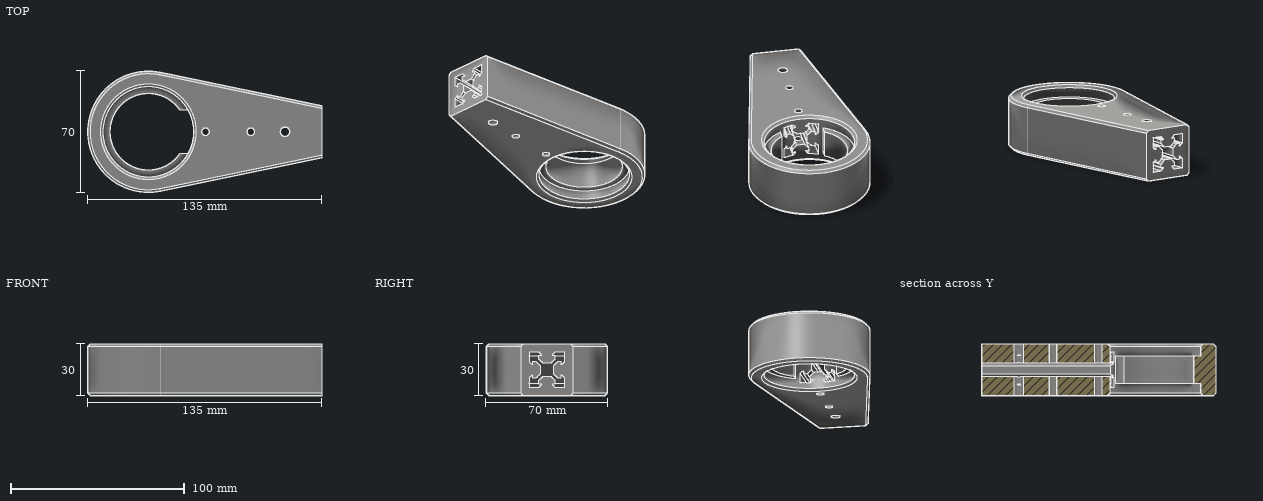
import cadquery as cq
import math

height = 30.0
ring_radius = 35.0
arm_end_x = 135 - ring_radius
arm_end_half_width = 15.0
edge_chamfer = 1.5

bore_radius = 26.0
band_radius = 22.0
band_height = 16.0
band_gap = 25.0

screw_holes = [(33.0, 4.2), (59.0, 4.2), (78.7, 5.3)]

rail_half = 10.1
mouth_half = 4.6
neck_half = 3.1
lip_inner = 8.2
cavity_half = 4.7
core_half = 3.8
floor_half = 2.3


def arm_body():
    """Ring outline joined to the arm end by tangent lines, chamfered top and bottom."""
    corner_angle = math.atan2(arm_end_half_width, arm_end_x)
    corner_distance = math.hypot(arm_end_x, arm_end_half_width)
    tangent_angle = corner_angle + math.acos(ring_radius / corner_distance)
    tangent_x = ring_radius * math.cos(tangent_angle)
    tangent_y = ring_radius * math.sin(tangent_angle)
    body = (
        cq.Workplane("XY")
        .workplane(offset=-height / 2)
        .moveTo(arm_end_x, -arm_end_half_width)
        .lineTo(arm_end_x, arm_end_half_width)
        .lineTo(tangent_x, tangent_y)
        .threePointArc((-ring_radius, 0), (tangent_x, -tangent_y))
        .close()
        .extrude(height)
    )
    return body.faces("|Z").edges("not(|Y)").chamfer(edge_chamfer)


def cylinder(radius, length):
    """Vertical cylinder centred on the origin."""
    return cq.Workplane("XY").circle(radius).extrude(length / 2, both=True)


def bore():
    """Bore with chamfered rims."""
    rim = (
        cq.Workplane("XY")
        .workplane(offset=height / 2 - edge_chamfer)
        .circle(bore_radius)
        .workplane(offset=edge_chamfer)
        .circle(bore_radius + edge_chamfer)
        .loft()
    )
    return cylinder(bore_radius, height).union(rim).union(rim.mirror("XY"))


def inner_band():
    """Band inside the bore, overlapping the ring wall, with its gap on the +X side."""
    overlap_radius = (bore_radius + ring_radius) / 2
    band = cylinder(overlap_radius, band_height).cut(cylinder(band_radius, band_height))
    gap = cq.Workplane("XY").box(ring_radius, band_gap, band_height, centered=(False, True, True))
    return band.cut(gap)


def rail_socket():
    """V-slot rail shape running from the bore out through the end of the arm."""
    neck_distance = rail_half - (mouth_half - neck_half)
    shoulder_distance = core_half + cavity_half - floor_half
    rail = cq.Workplane("YZ").rect(2 * rail_half, 2 * rail_half).extrude(arm_end_x)
    half_groove = [
        (mouth_half, rail_half),
        (neck_half, neck_distance),
        (neck_half, lip_inner),
        (cavity_half, lip_inner),
        (cavity_half, shoulder_distance),
        (floor_half, core_half),
    ]
    other_half = [(-across, out) for across, out in reversed(half_groove)]
    groove = cq.Workplane("YZ").polyline(half_groove + other_half).close().extrude(arm_end_x)
    for quarter in range(4):
        rail = rail.cut(groove.rotate((0, 0, 0), (1, 0, 0), 90 * quarter))
    return rail


result = arm_body().cut(rail_socket()).cut(bore()).union(inner_band())
for hole_x, diameter in screw_holes:
    result = result.cut(cylinder(diameter / 2, height).translate((hole_x, 0, 0)))